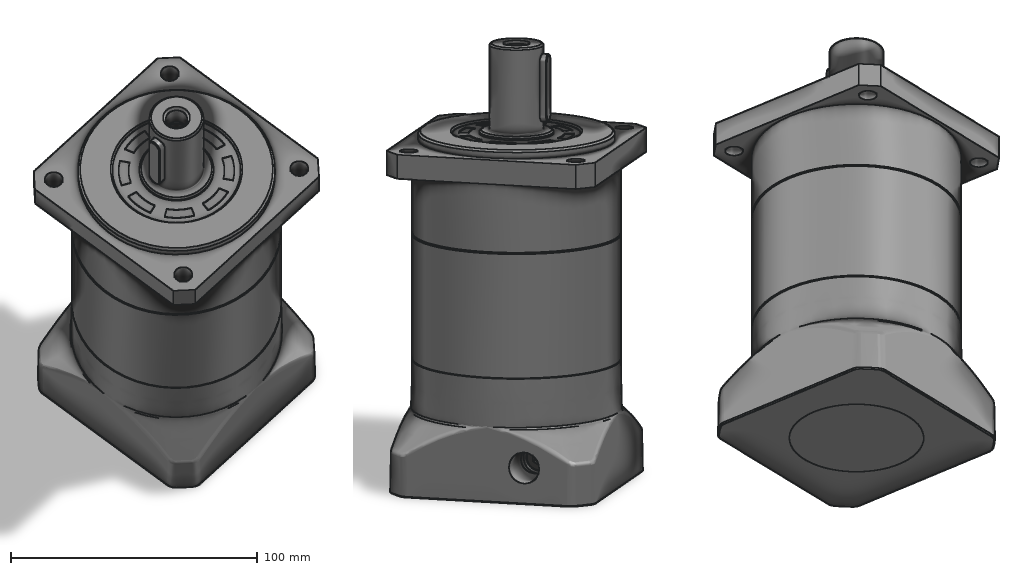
import cadquery as cq
import math

SHAFT_TOP = 182.0
PILOT_TOP = 145.6
FLANGE_TOP = 142.1
FLANGE_BOTTOM = 132.1
RING_TOP = 103.4
RING_BOTTOM = 51.3

BODY_R = 42.5
FLANGE_SIDE = 88.0
FLANGE_CORNER = 6.4
PILOT_R = 40.0
PILOT_CHAMFER = 1.0
FLANGE_HOLE_R = 3.6
FLANGE_HOLE_OFFSET = 35.3
COVER_R = 26.0
MOUTH_CHAMFER = 0.7
SEAM_CHAMFER = 0.4

COVER_RECESS = 1.0
COVER_TOP = PILOT_TOP - COVER_RECESS
COVER_THICKNESS = 3.6
COVER_BOTTOM = COVER_TOP - COVER_THICKNESS
POCKET_COUNT = 8
POCKET_OUTER_R = 23.5
POCKET_INNER_R = 19.5
POCKET_HALF_ANGLE = 15.0
POCKET_DEPTH = 0.4

SHAFT_DIAMETER = 22.0
SHAFT_R = SHAFT_DIAMETER / 2
SHAFT_CHAMFER = 0.7
SHOULDER_R = 15.1
SHOULDER_TOP = 146.1
SHOULDER_CHAMFER = 0.7
SHAFT_FILLET = 0.5
CENTER_MOUTH_R = 5.5
CENTER_RECESS_R = 4.4
CENTER_RECESS_DEPTH = 9.1
CENTER_BORE_R = 3.8
CENTER_BORE_DEPTH = 32.8
DRILL_TIP_ANGLE = 30.0
DRILL_TIP_SLOPE = math.tan(math.radians(DRILL_TIP_ANGLE))

KEY_WIDTH = 6.0
KEY_LENGTH = 28.0
KEY_CENTER_Z = 164.2
KEY_OUTER_Y = 13.6
KEY_HEIGHT = 6.0
KEY_CHAMFER = 0.4

DRAFT = 1.0
SHOULDER_ANGLE = 45.0
DRAFT_SLOPE = math.tan(math.radians(DRAFT))
SIDE_CLEARANCE = 0.05
BASE_HALF = BODY_R + RING_BOTTOM * DRAFT_SLOPE + SIDE_CLEARANCE
CORNER_R = 56.0
CORNER_TOP = 17.7
CORNER_EDGE_FILLET = 5.1
SHOULDER_FILLET = 2.5
ROOT_FILLET = 1.3
BASE_CHAMFER = 0.5
EDGE_MARGIN = 0.02

HUB_R = 27.3
HUB_TOP = 29.1
SCREW_Y = -15.7
SCREW_Z = 15.1
ACCESS_R = 6.4
SEAT_X = -21.8
SEAT_R = 5.5
HEAD_R = 5.0
HEAD_LENGTH = 6.0
SHANK_R = 3.0
SHANK_LENGTH = 14.5
SHANK_SPAN = (SEAT_X + HEAD_LENGTH, SEAT_X + HEAD_LENGTH + SHANK_LENGTH)
COUNTERSINK_ANGLE = 45.0
SOCKET_SIDES = 6
SOCKET_FLATS = 5.0
SOCKET_DEPTH = 3.0


def cylinder(radius, bottom, top):
    return cq.Workplane("XY").workplane(offset=bottom).circle(radius).extrude(top - bottom)


def screw_plane(x):
    """Workplane square to the clamp screw axis, facing +X."""
    return cq.Workplane(cq.Plane(origin=(x, SCREW_Y, SCREW_Z), xDir=(0, 1, 0), normal=(1, 0, 0)))


def x_cylinder(radius, start, end):
    """Cylinder along +X on the clamp screw axis."""
    return screw_plane(start).circle(radius).extrude(end - start)


def revolve_profile(points):
    """Turn a closed (radius, z) outline about the Z axis."""
    return cq.Workplane("XZ").polyline(points).close().revolve(360, (0, 0, 0), (0, 1, 0))


def key_blank():
    inner_y = KEY_OUTER_Y - KEY_HEIGHT
    plane = cq.Plane(origin=(0, -inner_y, KEY_CENTER_Z), xDir=(1, 0, 0), normal=(0, -1, 0))
    return cq.Workplane(plane).slot2D(KEY_LENGTH, KEY_WIDTH, 90).extrude(KEY_HEIGHT)


def make_key():
    return key_blank().faces("<Y").chamfer(KEY_CHAMFER)


def make_shaft():
    fillet_mid = SHAFT_FILLET * (1 - math.sqrt(0.5))
    shaft = (
        cq.Workplane("XZ").moveTo(0, RING_TOP)
        .lineTo(SHOULDER_R, RING_TOP)
        .lineTo(SHOULDER_R, SHOULDER_TOP - SHOULDER_CHAMFER)
        .lineTo(SHOULDER_R - SHOULDER_CHAMFER, SHOULDER_TOP)
        .lineTo(SHAFT_R + SHAFT_FILLET, SHOULDER_TOP)
        .threePointArc(
            (SHAFT_R + fillet_mid, SHOULDER_TOP + fillet_mid),
            (SHAFT_R, SHOULDER_TOP + SHAFT_FILLET))
        .lineTo(SHAFT_R, SHAFT_TOP - SHAFT_CHAMFER)
        .lineTo(SHAFT_R - SHAFT_CHAMFER, SHAFT_TOP)
        .lineTo(0, SHAFT_TOP)
        .close().revolve(360, (0, 0, 0), (0, 1, 0))
    )
    mouth_bottom = SHAFT_TOP - (CENTER_MOUTH_R - CENTER_RECESS_R)
    recess_bottom = SHAFT_TOP - CENTER_RECESS_DEPTH
    bore_bottom = SHAFT_TOP - CENTER_BORE_DEPTH
    center_hole = revolve_profile([
        (0, SHAFT_TOP),
        (CENTER_MOUTH_R, SHAFT_TOP),
        (CENTER_RECESS_R, mouth_bottom),
        (CENTER_RECESS_R, recess_bottom),
        (CENTER_BORE_R, recess_bottom - (CENTER_RECESS_R - CENTER_BORE_R)),
        (CENTER_BORE_R, bore_bottom),
        (0, bore_bottom - CENTER_BORE_R * DRILL_TIP_SLOPE),
    ])
    return shaft.cut(center_hole).cut(key_blank())


def make_cover():
    cover = cylinder(COVER_R, COVER_BOTTOM, COVER_TOP).cut(cylinder(SHOULDER_R, COVER_BOTTOM, COVER_TOP))
    half = math.radians(POCKET_HALF_ANGLE)

    def on_circle(radius, angle):
        return (radius * math.cos(angle), radius * math.sin(angle))

    pocket = (
        cq.Workplane("XY").workplane(offset=COVER_TOP - POCKET_DEPTH)
        .moveTo(*on_circle(POCKET_INNER_R, -half))
        .lineTo(*on_circle(POCKET_OUTER_R, -half))
        .threePointArc((POCKET_OUTER_R, 0), on_circle(POCKET_OUTER_R, half))
        .lineTo(*on_circle(POCKET_INNER_R, half))
        .threePointArc((POCKET_INNER_R, 0), on_circle(POCKET_INNER_R, -half))
        .close().extrude(POCKET_DEPTH)
    )
    for index in range(POCKET_COUNT):
        cover = cover.cut(pocket.rotate((0, 0, 0), (0, 0, 1), index * 360 / POCKET_COUNT))
    return cover


def make_housing():
    barrel = cylinder(BODY_R, RING_TOP, FLANGE_TOP).faces("<Z").chamfer(SEAM_CHAMFER)
    flange = (
        cq.Workplane("XY").workplane(offset=FLANGE_BOTTOM)
        .rect(FLANGE_SIDE, FLANGE_SIDE).extrude(FLANGE_TOP - FLANGE_BOTTOM)
        .edges("|Z").chamfer(FLANGE_CORNER)
        .faces(">Z").workplane()
        .rect(2 * FLANGE_HOLE_OFFSET, 2 * FLANGE_HOLE_OFFSET, forConstruction=True)
        .vertices().circle(FLANGE_HOLE_R).cutThruAll()
    )
    pilot = cylinder(PILOT_R, FLANGE_TOP, PILOT_TOP).faces(">Z").chamfer(PILOT_CHAMFER)
    housing = barrel.union(flange).union(pilot)
    housing = housing.cut(cylinder(SHOULDER_R, RING_TOP, PILOT_TOP))
    housing = housing.cut(cylinder(COVER_R, COVER_BOTTOM, PILOT_TOP))
    mouth_bottom = PILOT_TOP - MOUTH_CHAMFER
    mouth = revolve_profile([
        (0, PILOT_TOP), (COVER_R + MOUTH_CHAMFER, PILOT_TOP), (COVER_R, mouth_bottom), (0, mouth_bottom)])
    return housing.cut(mouth)


def make_ring():
    return cylinder(BODY_R, RING_BOTTOM, RING_TOP).faces("<Z or >Z").chamfer(SEAM_CHAMFER)


def neck_r(z):
    """Radius of the tapered neck at height z."""
    return BODY_R + (RING_BOTTOM - z) * DRAFT_SLOPE


def adapter_round():
    """Neck, 45 degree shoulder and corner cylinder, turned about the Z axis."""
    root_z = (CORNER_TOP + CORNER_R - BODY_R - RING_BOTTOM * DRAFT_SLOPE) / (1 - DRAFT_SLOPE)
    root_r = neck_r(root_z)
    root_tangent = ROOT_FILLET * math.tan(math.radians((SHOULDER_ANGLE - DRAFT) / 2))
    shoulder_offset = root_tangent * math.cos(math.radians(SHOULDER_ANGLE))
    arc_start = (root_r + shoulder_offset, root_z - shoulder_offset)
    arc_end_z = root_z + root_tangent * math.cos(math.radians(DRAFT))
    return (
        cq.Workplane("XZ").moveTo(0, 0)
        .lineTo(CORNER_R + CORNER_TOP * DRAFT_SLOPE, 0)
        .lineTo(CORNER_R, CORNER_TOP)
        .lineTo(*arc_start)
        .tangentArcPoint((neck_r(arc_end_z), arc_end_z), relative=False)
        .lineTo(BODY_R, RING_BOTTOM)
        .lineTo(0, RING_BOTTOM)
        .close().revolve(360, (0, 0, 0), (0, 1, 0))
    )


def adapter_block():
    """Square drafted base that runs up into the round neck, with rounded edges."""
    square = cq.Workplane("XY").rect(2 * BASE_HALF, 2 * BASE_HALF).extrude(RING_BOTTOM, taper=DRAFT)
    block = adapter_round().intersect(square)

    def upright(edge):
        box = edge.BoundingBox()
        return box.zmin < EDGE_MARGIN and abs(box.zmax - CORNER_TOP) < EDGE_MARGIN

    block = block.newObject([e for e in block.edges().vals() if upright(e)]).fillet(CORNER_EDGE_FILLET)

    def shoulder_edge(edge):
        box = edge.BoundingBox()
        level = abs(box.zmin - CORNER_TOP) < EDGE_MARGIN and box.zlen < EDGE_MARGIN
        return level and edge.geomType() == "CIRCLE"

    block = block.newObject([e for e in block.edges().vals() if shoulder_edge(e)]).fillet(SHOULDER_FILLET)
    return block.faces("<Z").chamfer(BASE_CHAMFER)


def make_adapter():
    hub_recess = cylinder(HUB_R, 0, HUB_TOP)
    access_hole = x_cylinder(ACCESS_R, -FLANGE_SIDE, 0)
    return adapter_block().cut(hub_recess).cut(access_hole)


def make_clamp_hub():
    """Hub with a countersunk screw seat; the seat lines up with the access hole."""
    hub = cylinder(HUB_R, 0, HUB_TOP)
    access = x_cylinder(ACCESS_R, -FLANGE_SIDE, SEAT_X)
    head_bore = x_cylinder(SEAT_R, SEAT_X, SEAT_X + HEAD_LENGTH)
    countersink = screw_plane(SEAT_X).circle(ACCESS_R).extrude(ACCESS_R - SEAT_R, taper=COUNTERSINK_ANGLE)
    return hub.cut(access).cut(head_bore).cut(countersink).cut(x_cylinder(SHANK_R, *SHANK_SPAN))


def make_screw():
    """Clamp screw with a hexagon socket that ends in a drill tip."""
    head = x_cylinder(HEAD_R, SEAT_X, SEAT_X + HEAD_LENGTH)
    screw = head.union(x_cylinder(SHANK_R, *SHANK_SPAN))
    corner_distance = SOCKET_FLATS / math.cos(math.pi / SOCKET_SIDES)
    socket = (
        screw_plane(SEAT_X).polygon(SOCKET_SIDES, corner_distance).extrude(SOCKET_DEPTH)
        .rotate((0, SCREW_Y, SCREW_Z), (1, SCREW_Y, SCREW_Z), 90)
    )
    tip_r = SOCKET_FLATS / 2
    tip = cq.Solid.makeCone(
        tip_r, 0, tip_r * DRILL_TIP_SLOPE,
        cq.Vector(SEAT_X + SOCKET_DEPTH, SCREW_Y, SCREW_Z), cq.Vector(1, 0, 0))
    return screw.cut(socket).cut(cq.Workplane(tip))


housing = make_housing()
ring = make_ring()
adapter = make_adapter()
shaft = make_shaft()
key = make_key()
cover = make_cover()
clamp_hub = make_clamp_hub()
screw = make_screw()

result = cq.Compound.makeCompound([
    housing.val(),
    ring.val(),
    adapter.val(),
    shaft.val(),
    key.val(),
    cover.val(),
    clamp_hub.val(),
    screw.val(),
])